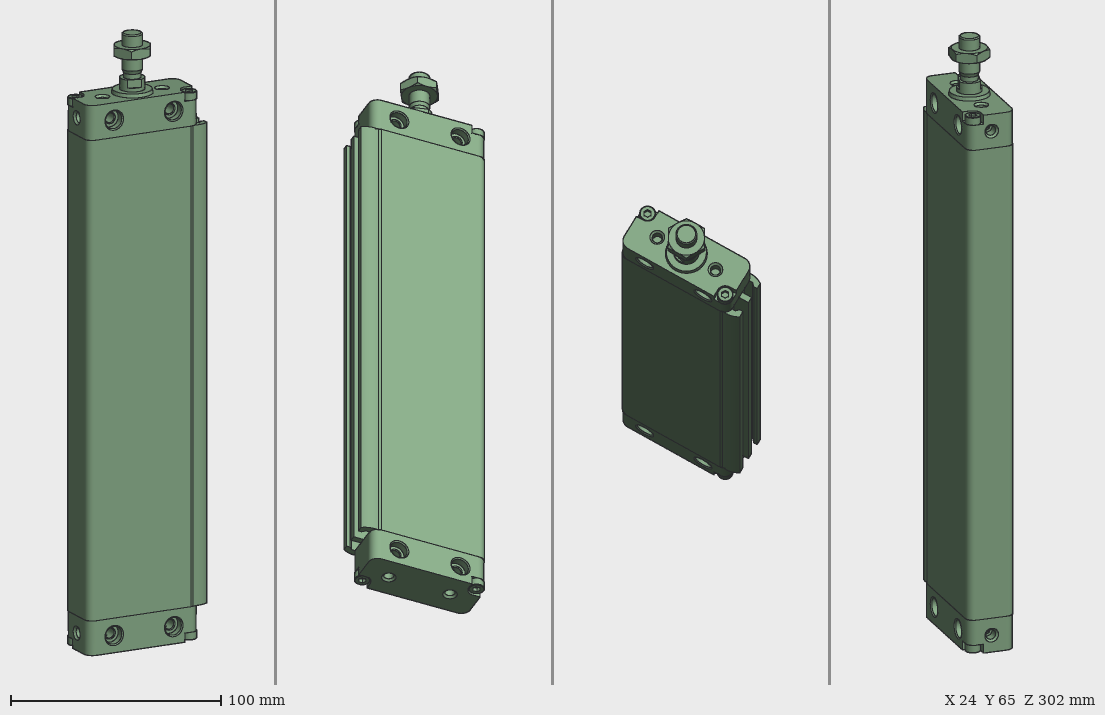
import cadquery as cq
import math


TOTAL_HEIGHT = 302.0
TOTAL_LENGTH = 65.0

CAP_WIDTH = 24.0
CAP_LENGTH = 59.8
CAP_HEIGHT = 17.2
CAP_CORNER_RADIUS = 4.5
HEAD_CAP_TOP = 272.5

CROSS_HOLE_SPACING = 32.0
CROSS_HOLE_DIAMETER = 4.8
CROSS_HOLE_CHAMFER = 0.45
CROSS_BORE_DIAMETER = 8.8
CROSS_BORE_DEPTH = 4.2
CROSS_BORE_CHAMFER = 0.5

PORT_DIAMETER = 7.0
PORT_BORE_DIAMETER = 4.8
PORT_DEPTH = 6.0
COUNTERSINK_ANGLE = 45.0
PASSAGE_DIAMETER = 2.5
PASSAGE_DEPTH = 9.0

SCREW_POCKET_DIAMETER = 8.2
SCREW_POCKET_DEPTH = 4.5
SCREW_HEAD_DIAMETER = 7.5
SCREW_HEAD_HEIGHT = 4.0
SCREW_HEAD_CHAMFER = 0.3
SCREW_INSET = SCREW_HEAD_DIAMETER / 2
SOCKET_SIZE = 3.3
SOCKET_DEPTH = 2.0

COLLAR_DIAMETER = 20.0
COLLAR_TOP_DIAMETER = 19.0
COLLAR_HEIGHT = 1.8
COLLAR_FACETS = 36

BARREL_CORNER_RADIUS = 3.5
SIDE_END_Y = 25.5
LIP_START_Y = 26.5
LIP_INSET = 0.5
LIP_TIP_OUTER_X = 9.7
LIP_TIP_INNER_X = 6.5
LIP_BULGE = 1.0
LIP_DEPTH = 1.8
SLOT_HALF_WIDTH = 8.2
SLOT_FLOOR_Y = 27.2
RIB_WIDTH = 3.0

ROD_DIAMETER = 12.0
ROD_SHOULDER_Z = 280.0
NECK_DIAMETER = 8.5
NECK_TOP_Z = 282.5
THREAD_DIAMETER = 10.0
THREAD_START_Z = 284.2
TIP_CHAMFER = 0.5
FLAT_SPACING = 10.0
FLAT_BOTTOM_Z = 276.0
FLAT_ANGLE = -15.0

NUT_FLATS = 17.2
NUT_BOTTOM_Z = 290.8
NUT_HEIGHT = 5.0
NUT_CHAMFER_ANGLE = math.radians(30)

BARREL_TOP_Y = TOTAL_LENGTH - CAP_LENGTH / 2
BARREL_BOTTOM_Z = CAP_HEIGHT
BARREL_TOP_Z = HEAD_CAP_TOP - CAP_HEIGHT


def vertical_cylinder(diameter, height, x, y, z):
    return cq.Workplane("XY", origin=(x, y, z)).circle(diameter / 2).extrude(height)


def hexagon_prism(across_flats, height, x, y, z):
    """A hexagonal prism along Z with two of its corners on its Y axis."""
    across_corners = across_flats / math.cos(math.pi / 6)
    hexagon = cq.Workplane("XY").polygon(6, across_corners).extrude(height)
    return hexagon.rotate((0, 0, 0), (0, 0, 1), 30).translate((x, y, z))


def cut_cross_holes(cap):
    """Two holes along X, each with a chamfered counterbore at both ends."""
    face_x = CAP_WIDTH / 2
    floor_x = face_x - CROSS_BORE_DEPTH
    hole_radius = CROSS_HOLE_DIAMETER / 2
    bore_radius = CROSS_BORE_DIAMETER / 2
    half_profile = [
        (0, 0),
        (0, hole_radius),
        (floor_x - CROSS_HOLE_CHAMFER, hole_radius),
        (floor_x, hole_radius + CROSS_HOLE_CHAMFER),
        (floor_x, bore_radius),
        (face_x - CROSS_BORE_CHAMFER, bore_radius),
        (face_x, bore_radius + CROSS_BORE_CHAMFER),
        (face_x, 0),
    ]
    half_hole = cq.Workplane("XY").polyline(half_profile).close().revolve(360, (0, 0, 0), (1, 0, 0))
    hole = half_hole.union(half_hole.mirror("YZ"))
    for y in (-CROSS_HOLE_SPACING / 2, CROSS_HOLE_SPACING / 2):
        cap = cap.cut(hole.translate((0, y, CAP_HEIGHT / 2)))
    return cap


def countersunk_hole(plane):
    """The cutter for a blind hole with a countersunk mouth, sunk from the given plane."""
    sink_depth = (PORT_DIAMETER - PORT_BORE_DIAMETER) / 2 / math.tan(math.radians(COUNTERSINK_ANGLE))
    sink = cq.Workplane(plane).circle(PORT_DIAMETER / 2).extrude(-sink_depth, taper=COUNTERSINK_ANGLE)
    bore = cq.Workplane(plane).circle(PORT_BORE_DIAMETER / 2).extrude(-PORT_DEPTH)
    return sink.union(bore)


def fit_corner_screw(cap, side):
    """Open a corner pocket (side -1: -X-Y, side +1: +X+Y) and seat a screw head in it."""
    x = side * (CAP_WIDTH / 2 - SCREW_INSET)
    y = side * (CAP_LENGTH / 2 - SCREW_INSET)
    floor_z = CAP_HEIGHT - SCREW_POCKET_DEPTH
    radius = SCREW_POCKET_DIAMETER / 2
    reach = 2 * SCREW_INSET
    pocket = vertical_cylinder(SCREW_POCKET_DIAMETER, SCREW_POCKET_DEPTH, x, y, floor_z)
    to_side = cq.Workplane("XY").box(reach, 2 * radius, SCREW_POCKET_DEPTH, centered=(True, True, False))
    to_end = cq.Workplane("XY").box(2 * radius, reach, SCREW_POCKET_DEPTH, centered=(True, True, False))
    pocket = pocket.union(to_side.translate((x + side * reach / 2, y, floor_z)))
    pocket = pocket.union(to_end.translate((x, y + side * reach / 2, floor_z)))
    head = vertical_cylinder(SCREW_HEAD_DIAMETER, SCREW_HEAD_HEIGHT, x, y, floor_z)
    head = head.faces(">Z").chamfer(SCREW_HEAD_CHAMFER)
    socket_z = floor_z + SCREW_HEAD_HEIGHT - SOCKET_DEPTH
    head = head.cut(hexagon_prism(SOCKET_SIZE, SOCKET_DEPTH, x, y, socket_z))
    return cap.cut(pocket).union(head)


def make_cap():
    """An end cap standing on Z = 0 with its outer face up."""
    cap = cq.Workplane("XY").box(CAP_WIDTH, CAP_LENGTH, CAP_HEIGHT, centered=(True, True, False))
    cap = cap.edges("|Z").fillet(CAP_CORNER_RADIUS)
    cap = cut_cross_holes(cap)
    port_plane = cq.Plane(origin=(0, -CAP_LENGTH / 2, CAP_HEIGHT / 2), xDir=(1, 0, 0), normal=(0, -1, 0))
    cap = cap.cut(countersunk_hole(port_plane))
    cap = cap.cut(cq.Workplane(port_plane).circle(PASSAGE_DIAMETER / 2).extrude(-PASSAGE_DEPTH))
    for side in (-1, 1):
        y = side * CROSS_HOLE_SPACING / 2
        cap = cap.cut(countersunk_hole(cq.Plane(origin=(0, y, CAP_HEIGHT))))
        cap = fit_corner_screw(cap, side)
    return cap


def make_head_cap():
    """The upper cap, with the rod collar and a bore for the rod."""
    cap = make_cap()
    taper = math.degrees(math.atan2((COLLAR_DIAMETER - COLLAR_TOP_DIAMETER) / 2, COLLAR_HEIGHT))
    collar = cq.Workplane("XY", origin=(0, 0, CAP_HEIGHT)).polygon(COLLAR_FACETS, COLLAR_DIAMETER)
    cap = cap.union(collar.extrude(COLLAR_HEIGHT, taper=taper))
    cap = cap.cut(vertical_cylinder(ROD_DIAMETER, CAP_HEIGHT + COLLAR_HEIGHT, 0, 0, 0))
    return cap.translate((0, 0, BARREL_TOP_Z))


def make_base_cap():
    """The lower cap: the same cap mirrored so that its outer face is down."""
    return make_cap().mirror("XY").translate((0, 0, CAP_HEIGHT))


def make_barrel():
    """The extruded profile, with two lipped sensor slots along its +Y side."""
    half_width = CAP_WIDTH / 2
    bottom_y = -CAP_LENGTH / 2
    lip_x = half_width - LIP_INSET
    bulge_x = (lip_x + LIP_TIP_OUTER_X) / 2 + LIP_BULGE
    bulge_y = (LIP_START_Y + BARREL_TOP_Y) / 2
    height = BARREL_TOP_Z - BARREL_BOTTOM_Z
    barrel = (
        cq.Workplane("XY", origin=(0, 0, BARREL_BOTTOM_Z))
        .moveTo(-half_width, bottom_y)
        .lineTo(half_width, bottom_y)
        .lineTo(half_width, SIDE_END_Y)
        .lineTo(lip_x, LIP_START_Y)
        .threePointArc((bulge_x, bulge_y), (LIP_TIP_OUTER_X, BARREL_TOP_Y))
        .lineTo(-LIP_TIP_OUTER_X, BARREL_TOP_Y)
        .threePointArc((-bulge_x, bulge_y), (-lip_x, LIP_START_Y))
        .lineTo(-half_width, SIDE_END_Y)
        .close()
        .extrude(height)
    )
    barrel = barrel.edges("|Z and <Y").fillet(BARREL_CORNER_RADIUS)
    lip_bottom_y = BARREL_TOP_Y - LIP_DEPTH
    shoulder_y = lip_bottom_y - (SLOT_HALF_WIDTH - LIP_TIP_INNER_X)
    for side in (-1, 1):
        slot = (
            cq.Workplane("XY", origin=(0, 0, BARREL_BOTTOM_Z))
            .moveTo(side * RIB_WIDTH / 2, BARREL_TOP_Y)
            .lineTo(side * LIP_TIP_INNER_X, BARREL_TOP_Y)
            .lineTo(side * LIP_TIP_INNER_X, lip_bottom_y)
            .lineTo(side * SLOT_HALF_WIDTH, shoulder_y)
            .lineTo(side * SLOT_HALF_WIDTH, SLOT_FLOOR_Y)
            .lineTo(side * RIB_WIDTH / 2, SLOT_FLOOR_Y)
            .close()
            .extrude(height)
        )
        barrel = barrel.cut(slot)
    return barrel


def make_rod():
    """The piston rod: a turned profile with two wrench flats below its shoulder."""
    rod_radius = ROD_DIAMETER / 2
    neck_radius = NECK_DIAMETER / 2
    thread_radius = THREAD_DIAMETER / 2
    rod = (
        cq.Workplane("XZ")
        .moveTo(0, BARREL_TOP_Z)
        .lineTo(rod_radius, BARREL_TOP_Z)
        .lineTo(rod_radius, ROD_SHOULDER_Z)
        .lineTo(neck_radius, ROD_SHOULDER_Z)
        .lineTo(neck_radius, NECK_TOP_Z)
        .lineTo(thread_radius, THREAD_START_Z)
        .lineTo(thread_radius, TOTAL_HEIGHT - TIP_CHAMFER)
        .lineTo(thread_radius - TIP_CHAMFER, TOTAL_HEIGHT)
        .lineTo(0, TOTAL_HEIGHT)
        .close()
        .revolve(360, (0, 0, 0), (0, 1, 0))
    )
    flat_height = ROD_SHOULDER_Z - FLAT_BOTTOM_Z
    flat_ring = cq.Workplane("XY").box(2 * ROD_DIAMETER, 2 * ROD_DIAMETER, flat_height)
    flat_ring = flat_ring.cut(cq.Workplane("XY").box(FLAT_SPACING, 2 * ROD_DIAMETER, flat_height))
    flat_ring = flat_ring.rotate((0, 0, 0), (0, 0, 1), FLAT_ANGLE)
    return rod.cut(flat_ring.translate((0, 0, FLAT_BOTTOM_Z + flat_height / 2)))


def make_nut():
    """The hexagonal lock nut, its corners rounded off by a chamfer at both ends."""
    nut = hexagon_prism(NUT_FLATS, NUT_HEIGHT, 0, 0, NUT_BOTTOM_Z)
    corner_diameter = NUT_FLATS / math.cos(math.pi / 6)
    drop = (corner_diameter - NUT_FLATS) / 2
    envelope = vertical_cylinder(corner_diameter, NUT_HEIGHT, 0, 0, NUT_BOTTOM_Z)
    nut = nut.intersect(envelope.edges().chamfer(drop * math.tan(NUT_CHAMFER_ANGLE), drop))
    return nut.cut(vertical_cylinder(THREAD_DIAMETER, NUT_HEIGHT, 0, 0, NUT_BOTTOM_Z))


barrel = make_barrel()
base_cap = make_base_cap()
head_cap = make_head_cap()
rod = make_rod()
nut = make_nut()

result = cq.Compound.makeCompound([barrel.val(), base_cap.val(), head_cap.val(), rod.val(), nut.val()])